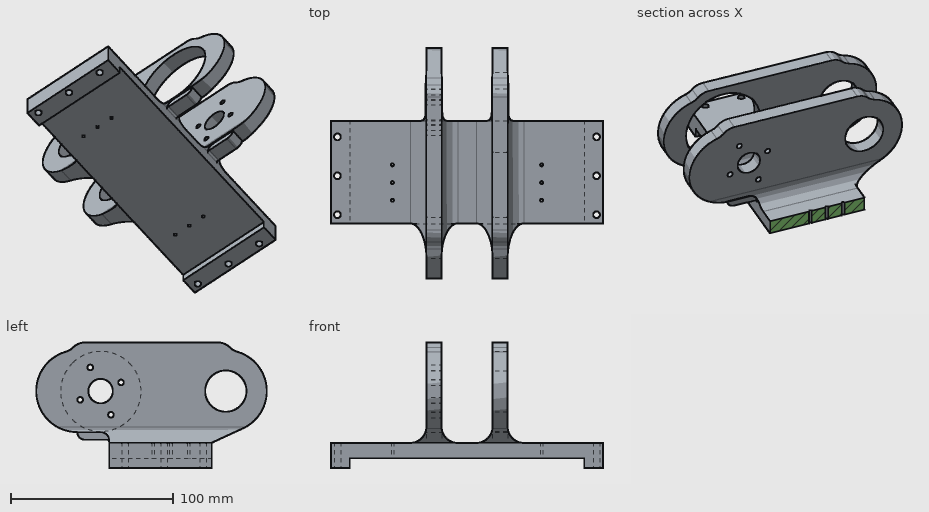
import cadquery as cq
import math

BASE_LENGTH = 168.0
BASE_WIDTH = 63.3
BASE_HEIGHT = 15.6
PLATE_THICKNESS = 9.5
FOOT_LENGTH = 11.8

MOUNT_DIAMETER = 4.0
MOUNT_X = 80.0
MOUNT_PITCH = 24.0
MOUNT_CENTER_Y = -2.2
PILOT_DIAMETER = 1.7
PILOT_X = 46.0
PILOT_PITCH = 11.0
PILOT_CENTER_Y = -6.4

TOTAL_HEIGHT = 77.6
CHEEK_LENGTH = 142.5
CHEEK_THICKNESS = 9.4
CHEEK_SPACING = 40.8
CHEEK_X = CHEEK_SPACING / 2
CHEEK_CENTER_Y = 5.5
END_RADIUS = 25.4
AXIS_Z = 47.5
RAISED_HALF_LENGTH = 41.2
BLEND_RADIUS = 10.0

ROOT_RADIUS = 9.9
BACK_RADIUS = 5.0
FOOT_FILLET = 1.3

PIVOT_DIAMETER = 25.4
SHAFT_Y = 37.0
SHAFT_DIAMETER = 15.0
MOTOR_DIAMETER = 49.5
SCREW_DIAMETER = 3.4
SCREW_OFFSETS = [(6.4, 14.6), (-12.6, 5.4)]

HALF_SPAN = CHEEK_LENGTH / 2 - END_RADIUS
FRONT_CENTER_Y = CHEEK_CENTER_Y - HALF_SPAN
BACK_CENTER_Y = CHEEK_CENTER_Y + HALF_SPAN
RAISED_HEIGHT = TOTAL_HEIGHT - AXIS_Z


def along_x(x_start, length, sketch):
    """Extrude a Y-Z outline drawn by sketch along +X."""
    return sketch(cq.Workplane("YZ", origin=(x_start, 0, 0))).extrude(length)


def cylinder_x(x_center, y, z, diameter):
    """Cutter along X, long enough to pass through one cheek."""
    length = 2 * CHEEK_THICKNESS
    workplane = cq.Workplane("YZ", origin=(x_center - length / 2, y, z))
    return workplane.circle(diameter / 2).extrude(length)


def blend_points():
    """Corner of the raised outline, measured from the cheek center.

    A convex arc leaves the raised edge and a concave arc of the same radius
    meets the round end. All the joints are tangent.
    """
    convex = (RAISED_HALF_LENGTH, RAISED_HEIGHT - BLEND_RADIUS)
    to_end = END_RADIUS + BLEND_RADIUS
    to_convex = 2 * BLEND_RADIUS
    dy = convex[0] - HALF_SPAN
    dz = convex[1]
    gap = math.hypot(dy, dz)
    along = (to_end**2 - to_convex**2 + gap**2) / (2 * gap)
    across = math.sqrt(to_end**2 - along**2)
    concave = (
        HALF_SPAN + (along * dy + across * dz) / gap,
        (along * dz - across * dy) / gap,
    )
    inflection = ((convex[0] + concave[0]) / 2, (convex[1] + concave[1]) / 2)
    share = END_RADIUS / to_end
    end_joint = (HALF_SPAN + share * (concave[0] - HALF_SPAN), share * concave[1])
    return inflection, end_joint


def cheek_outline(workplane):
    inflection, end_joint = blend_points()

    def place(point, side_y, side_z):
        return (CHEEK_CENTER_Y + side_y * point[0], AXIS_Z + side_z * point[1])

    raised_end = (RAISED_HALF_LENGTH, RAISED_HEIGHT)
    corner_middle = (
        RAISED_HALF_LENGTH + (HALF_SPAN - RAISED_HALF_LENGTH) * math.sqrt(0.5),
        END_RADIUS + (RAISED_HEIGHT - END_RADIUS) * math.sqrt(0.5),
    )
    tip = (CHEEK_LENGTH / 2, 0)
    outline = workplane.moveTo(*place(raised_end, -1, 1))
    outline = outline.lineTo(*place(raised_end, 1, 1))
    outline = outline.tangentArcPoint(place(inflection, 1, 1), relative=False)
    outline = outline.tangentArcPoint(place(end_joint, 1, 1), relative=False)
    outline = outline.threePointArc(place(tip, 1, 1), place((HALF_SPAN, END_RADIUS), 1, -1))
    outline = outline.threePointArc(place(corner_middle, 1, -1), place(raised_end, 1, -1))
    lower_z = AXIS_Z - RAISED_HEIGHT
    base_back = BASE_WIDTH / 2
    foot_middle = FOOT_FILLET * (1 - math.sqrt(0.5))
    outline = outline.lineTo(base_back + FOOT_FILLET, lower_z)
    outline = outline.threePointArc(
        (base_back + foot_middle, lower_z - foot_middle), (base_back, lower_z - FOOT_FILLET)
    )
    outline = outline.lineTo(CHEEK_CENTER_Y, lower_z - FOOT_FILLET)
    outline = outline.lineTo(FRONT_CENTER_Y, AXIS_Z)
    outline = outline.lineTo(FRONT_CENTER_Y - END_RADIUS, AXIS_Z)
    outline = outline.threePointArc(
        (
            FRONT_CENTER_Y - END_RADIUS * math.cos(math.pi / 6),
            AXIS_Z + END_RADIUS * math.sin(math.pi / 6),
        ),
        place(end_joint, -1, 1),
    )
    outline = outline.tangentArcPoint(place(inflection, -1, 1), relative=False)
    outline = outline.tangentArcPoint(place(raised_end, -1, 1), relative=False)
    return outline.close()


def root_outline(workplane):
    """Slot shape whose lower edge runs into the base at front and back."""
    base_front = -BASE_WIDTH / 2
    base_back = BASE_WIDTH / 2
    end_bottom = AXIS_Z - END_RADIUS

    dy = base_front - FRONT_CENTER_Y
    dz = BASE_HEIGHT - AXIS_Z
    reach = math.hypot(dy, dz)
    angle = math.atan2(dz, dy) - math.acos(END_RADIUS / reach)
    slope_joint = (
        FRONT_CENTER_Y + END_RADIUS * math.cos(angle),
        AXIS_Z + END_RADIUS * math.sin(angle),
    )
    diagonal = BACK_RADIUS * math.sqrt(0.5)

    outline = workplane.moveTo(base_front, BASE_HEIGHT)
    outline = outline.lineTo(*slope_joint)
    outline = outline.threePointArc(
        (FRONT_CENTER_Y - END_RADIUS, AXIS_Z), (FRONT_CENTER_Y, AXIS_Z + END_RADIUS)
    )
    outline = outline.lineTo(BACK_CENTER_Y, AXIS_Z + END_RADIUS)
    outline = outline.threePointArc(
        (BACK_CENTER_Y + END_RADIUS, AXIS_Z), (BACK_CENTER_Y, end_bottom)
    )
    outline = outline.lineTo(base_back + BACK_RADIUS, end_bottom)
    outline = outline.threePointArc(
        (base_back + BACK_RADIUS - diagonal, end_bottom - BACK_RADIUS + diagonal),
        (base_back, end_bottom - BACK_RADIUS),
    )
    return outline.lineTo(base_back, BASE_HEIGHT).close()


def make_flare(x_center):
    """Cheek-wide wall with a concave fillet on both sides of its foot."""
    half = CHEEK_THICKNESS / 2
    wide = half + ROOT_RADIUS
    arc_z = BASE_HEIGHT + ROOT_RADIUS
    diagonal = ROOT_RADIUS * math.sqrt(0.5)
    section = (
        cq.Workplane("XZ", origin=(x_center, CHEEK_CENTER_Y + CHEEK_LENGTH / 2, 0))
        .moveTo(-wide, BASE_HEIGHT)
        .lineTo(wide, BASE_HEIGHT)
        .threePointArc((wide - diagonal, arc_z - diagonal), (half, arc_z))
        .lineTo(half, TOTAL_HEIGHT)
        .lineTo(-half, TOTAL_HEIGHT)
        .lineTo(-half, arc_z)
        .threePointArc((diagonal - wide, arc_z - diagonal), (-wide, BASE_HEIGHT))
        .close()
    )
    return section.extrude(CHEEK_LENGTH)


def make_cheek(x_center):
    wall = along_x(x_center - CHEEK_THICKNESS / 2, CHEEK_THICKNESS, cheek_outline)
    root_width = CHEEK_THICKNESS + 2 * ROOT_RADIUS
    root = along_x(x_center - root_width / 2, root_width, root_outline)
    cheek = wall.union(root.intersect(make_flare(x_center)))
    return cheek.cut(cylinder_x(x_center, FRONT_CENTER_Y, AXIS_Z, PIVOT_DIAMETER))


def make_base():
    base = cq.Workplane("XY").box(
        BASE_LENGTH, BASE_WIDTH, BASE_HEIGHT, centered=(True, True, False)
    )
    channel = cq.Workplane("XY").box(
        BASE_LENGTH - 2 * FOOT_LENGTH,
        BASE_WIDTH,
        BASE_HEIGHT - PLATE_THICKNESS,
        centered=(True, True, False),
    )
    return base.cut(channel)


def hole_rows(x_offset, pitch, center_y, diameter):
    """Cutters for a row of three holes near each end of the base."""
    points = [
        (side * x_offset, center_y + step * pitch)
        for side in (-1, 1)
        for step in (-1, 0, 1)
    ]
    return cq.Workplane("XY").pushPoints(points).circle(diameter / 2).extrude(BASE_HEIGHT)


left_cheek = make_cheek(-CHEEK_X)
left_cheek = left_cheek.cut(cylinder_x(-CHEEK_X, SHAFT_Y, AXIS_Z, SHAFT_DIAMETER))
for offset_y, offset_z in SCREW_OFFSETS:
    for side in (-1, 1):
        screw = cylinder_x(
            -CHEEK_X, SHAFT_Y + side * offset_y, AXIS_Z + side * offset_z, SCREW_DIAMETER
        )
        left_cheek = left_cheek.cut(screw)

right_cheek = make_cheek(CHEEK_X)
motor_opening = cylinder_x(CHEEK_X, SHAFT_Y, AXIS_Z, MOTOR_DIAMETER)
right_cheek = right_cheek.cut(motor_opening)

result = make_base().union(left_cheek).union(right_cheek)
result = result.cut(hole_rows(MOUNT_X, MOUNT_PITCH, MOUNT_CENTER_Y, MOUNT_DIAMETER))
result = result.cut(hole_rows(PILOT_X, PILOT_PITCH, PILOT_CENTER_Y, PILOT_DIAMETER))